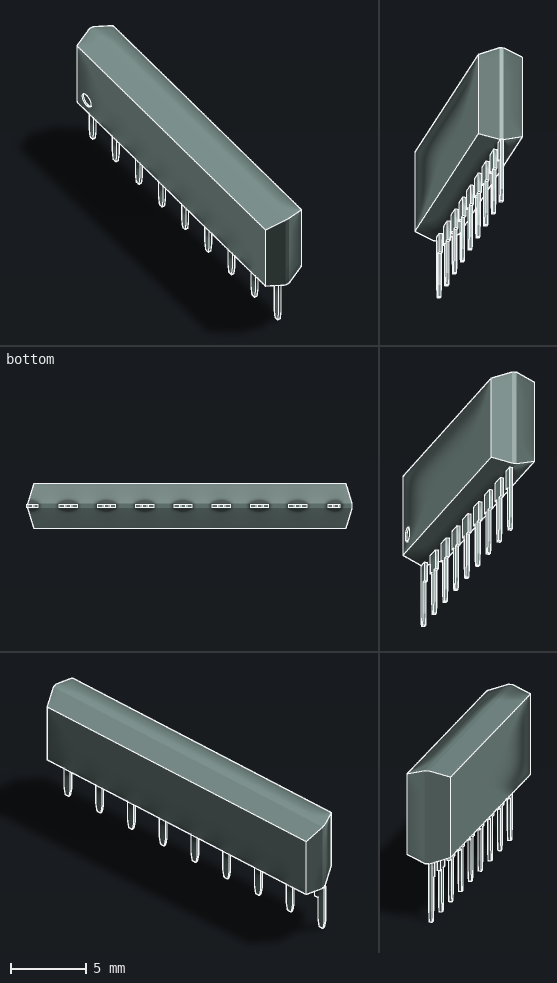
import cadquery as cq

BODY_LENGTH = 21.55
BODY_HEIGHT = 6.42
BODY_DEPTH = 3.0
BAND_DEPTH = 0.3
END_INSET = 0.41
EDGE_INSET = 0.43

MARK_DIAMETER = 1.0
MARK_DEPTH = 0.1
MARK_FROM_SIDE = 1.5
MARK_FROM_BOTTOM = 1.54

LEAD_COUNT = 9
LEAD_ROW_SPAN = 20.3
LEAD_PITCH = LEAD_ROW_SPAN / (LEAD_COUNT - 1)
LEAD_THICKNESS = 0.22
LEAD_LENGTH = 4.28
LEAD_WIDTH = 0.5
TIP_WIDTH = 0.3
TIP_LENGTH = 0.75
SHOULDER_LENGTH = 1.3
SHOULDER_WIDTH = 1.21
END_SHOULDER_REACH = 0.55
LEAD_OVERHANG = 0.09

FIRST_LEAD_X = -BODY_LENGTH / 2 - LEAD_OVERHANG + LEAD_WIDTH / 2


def make_half_body(side):
    """Half of the body on one side of the band: side is -1 for front, 1 for back."""
    taper_depth = (BODY_DEPTH - BAND_DEPTH) / 2
    band_face = cq.Plane(
        origin=(0, side * BAND_DEPTH / 2, BODY_HEIGHT / 2),
        xDir=(1, 0, 0),
        normal=(0, side, 0),
    )
    return (
        cq.Workplane(band_face)
        .rect(BODY_LENGTH, BODY_HEIGHT)
        .workplane(offset=taper_depth)
        .rect(BODY_LENGTH - 2 * END_INSET, BODY_HEIGHT - 2 * EDGE_INSET)
        .loft(combine=True)
    )


def make_body():
    band = cq.Workplane("XY").box(
        BODY_LENGTH, BAND_DEPTH, BODY_HEIGHT, centered=(True, True, False)
    )
    return band.union(make_half_body(-1)).union(make_half_body(1))


def make_mark():
    mark_x = -BODY_LENGTH / 2 + MARK_FROM_SIDE
    return (
        cq.Workplane("XZ", origin=(mark_x, -BODY_DEPTH / 2, MARK_FROM_BOTTOM))
        .circle(MARK_DIAMETER / 2)
        .extrude(-MARK_DEPTH)
    )


def make_lead(center_x, left_reach, right_reach):
    """One flat lead; the reaches give the shoulder edges from the lead centre."""
    half_width = LEAD_WIDTH / 2
    half_tip = TIP_WIDTH / 2
    taper_z = TIP_LENGTH - LEAD_LENGTH
    pin_outline = [
        (-half_width, 0),
        (-half_width, taper_z),
        (-half_tip, -LEAD_LENGTH),
        (half_tip, -LEAD_LENGTH),
        (half_width, taper_z),
        (half_width, 0),
    ]
    lead_plane = cq.Workplane("XZ", origin=(center_x, 0, 0))
    pin = lead_plane.polyline(pin_outline).close().extrude(LEAD_THICKNESS / 2, both=True)
    shoulder = (
        lead_plane.center((right_reach - left_reach) / 2, -SHOULDER_LENGTH / 2)
        .rect(left_reach + right_reach, SHOULDER_LENGTH)
        .extrude(LEAD_THICKNESS / 2, both=True)
    )
    return pin.union(shoulder)


result = make_body().cut(make_mark())
for index in range(LEAD_COUNT):
    left_reach = right_reach = SHOULDER_WIDTH / 2
    if index == 0:
        left_reach, right_reach = LEAD_WIDTH / 2, END_SHOULDER_REACH
    elif index == LEAD_COUNT - 1:
        left_reach, right_reach = END_SHOULDER_REACH, LEAD_WIDTH / 2
    result = result.union(make_lead(FIRST_LEAD_X + index * LEAD_PITCH, left_reach, right_reach))